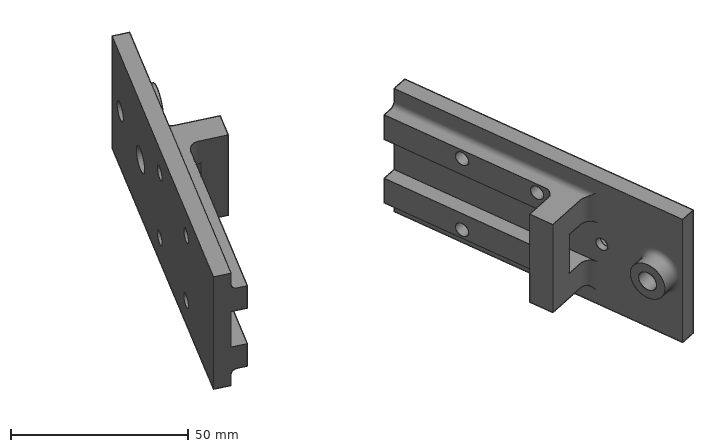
import cadquery as cq

plate_length = 100.0
plate_height = 45.0
plate_thickness = 5.2

overall_depth = 22.0
rail_top = 10.0
rails_width = 32.2
stop_start = 33.0
stop_thickness = 8.0
front_fillet = 3.3
stop_fillet = 3.3
side_fillet = 1.8
channel_width = 14.2
channel_top = 14.0

boss_x = 8.0
boss_diameter = 12.0
boss_top = 11.0
boss_fillet = 1.8
boss_hole_diameter = 6.2

screw_x = 28.0
screw_diameter = 4.1
counterbore_diameter = 8.2
counterbore_depth = 3.0
mount_diameter = 4.6
mount_spacing = 26.0
mount_center_x = 60.0


def cylinder(x, z, diameter, start, end):
    """Cylinder along Y between two depths."""
    return (
        cq.Workplane("XZ", origin=(x, start, z))
        .circle(diameter / 2)
        .extrude(start - end)
    )


def make_plate():
    return cq.Workplane("XY").box(
        plate_length, plate_thickness, plate_height, centered=(False, False, True)
    )


def make_rails():
    """Cross the stop-and-rail profile with the filleted end profile, then open the channel."""
    stop_end = stop_start + stop_thickness
    side_profile = (
        cq.Workplane("XY")
        .moveTo(stop_start - front_fillet, plate_thickness)
        .radiusArc((stop_start, plate_thickness + front_fillet), -front_fillet)
        .lineTo(stop_start, overall_depth)
        .lineTo(stop_end, overall_depth)
        .lineTo(stop_end, rail_top + stop_fillet)
        .radiusArc((stop_end + stop_fillet, rail_top), -stop_fillet)
        .lineTo(plate_length, rail_top)
        .lineTo(plate_length, plate_thickness)
        .close()
        .extrude(plate_height / 2, both=True)
    )
    half_width = rails_width / 2
    fillet_top = plate_thickness + side_fillet
    end_profile = (
        cq.Workplane("YZ")
        .moveTo(plate_thickness, -half_width - side_fillet)
        .radiusArc((fillet_top, -half_width), side_fillet)
        .lineTo(overall_depth, -half_width)
        .lineTo(overall_depth, half_width)
        .lineTo(fillet_top, half_width)
        .radiusArc((plate_thickness, half_width + side_fillet), side_fillet)
        .close()
        .extrude(plate_length)
    )
    channel = (
        cq.Workplane("XY", origin=(0, plate_thickness, 0))
        .box(
            plate_length, channel_top - plate_thickness, channel_width,
            centered=(False, False, True),
        )
    )
    return side_profile.intersect(end_profile).cut(channel)


def make_boss():
    """Revolve the boss with its flared foot about the hole axis."""
    radius = boss_diameter / 2
    return (
        cq.Workplane("XY", origin=(boss_x, 0, 0))
        .moveTo(0, plate_thickness)
        .lineTo(radius + boss_fillet, plate_thickness)
        .radiusArc((radius, plate_thickness + boss_fillet), boss_fillet)
        .lineTo(radius, boss_top)
        .lineTo(0, boss_top)
        .close()
        .revolve(360, (0, 0, 0), (0, 1, 0))
    )


def make_holes():
    holes = cylinder(boss_x, 0, boss_hole_diameter, 0, boss_top)
    holes = holes.union(cylinder(screw_x, 0, screw_diameter, 0, plate_thickness))
    holes = holes.union(cylinder(screw_x, 0, counterbore_diameter, 0, counterbore_depth))
    for side_x in (-1, 1):
        for side_z in (-1, 1):
            x = mount_center_x + side_x * mount_spacing / 2
            z = side_z * mount_spacing / 2
            holes = holes.union(cylinder(x, z, mount_diameter, 0, rail_top))
    return holes


result = make_plate().union(make_rails()).union(make_boss()).cut(make_holes())